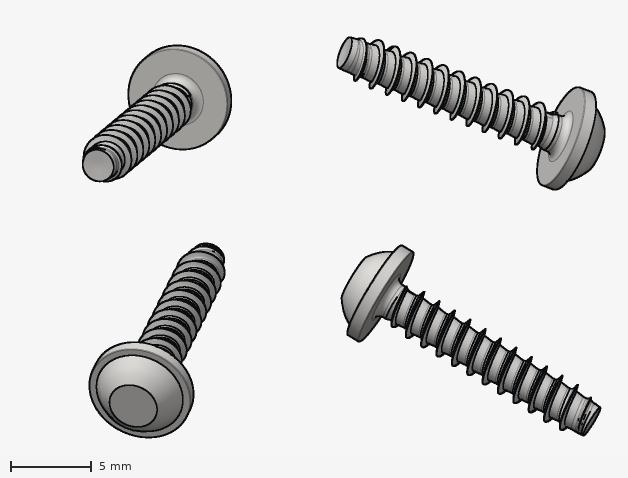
import cadquery as cq
import math


FLANGE_RADIUS = 3.25
FLANGE_THICKNESS = 0.83
FLANGE_EDGE_ROUND = 0.04
HEAD_HEIGHT = 2.3
DOME_BASE_RADIUS = 2.78
DOME_TOP_RADIUS = 1.53
DOME_SAGITTA = 0.13

SHANK_LENGTH = 15.0
NECK_RADIUS = 1.17
NECK_FILLET = 0.5
NECK_LENGTH = 0.73
NECK_TAPER_LENGTH = 0.35
CORE_RADIUS = 1.055
TIP_RADIUS = 1.02
TIP_TAPER_LENGTH = 0.4
TIP_DIMPLE_DEPTH = 0.08

PITCH = 1.12
CREST_Y_AT_X = -1.83
CREST_RADIUS = 1.5
CREST_HALF_WIDTH = 0.02
FLANK_ROOT_RADIUS = 1.12
HEAD_FLANK_WIDTH = 0.16
TIP_FLANK_WIDTH = 0.14
HEAD_RAMP_WIDTH = 0.33
TIP_RAMP_WIDTH = 0.74
RAMP_SINK = 0.01
BASE_RADIUS = 0.9

THREAD_START_Y = -0.8
FULL_THREAD_START_Y = -1.85
FULL_THREAD_END_Y = -13.4
THREAD_END_Y = -14.7
START_CREST_RADIUS = 1.28
START_HEAD_FLANK_WIDTH = 0.04
START_HEAD_RAMP_WIDTH = 0.06
END_CREST_RADIUS = 1.08
END_ROOT_RADIUS = 1.06
END_TIP_RAMP_WIDTH = 0.2
HELIX_POINTS_PER_TURN = 24


def make_body():
    """Head, neck and plain core as one solid of revolution."""
    quarter_arc_setback = 1 - math.sqrt(0.5)
    chord_radius = (DOME_BASE_RADIUS + DOME_TOP_RADIUS) / 2
    chord_height = (FLANGE_THICKNESS + HEAD_HEIGHT) / 2
    radial = DOME_BASE_RADIUS - DOME_TOP_RADIUS
    axial = HEAD_HEIGHT - FLANGE_THICKNESS
    chord = math.hypot(radial, axial)
    dome_middle = (
        chord_radius + DOME_SAGITTA * axial / chord,
        chord_height + DOME_SAGITTA * radial / chord,
    )
    fillet_outer_radius = NECK_RADIUS + NECK_FILLET
    fillet_offset = NECK_FILLET * quarter_arc_setback
    fillet_middle = (NECK_RADIUS + fillet_offset, -fillet_offset)
    edge_inner_radius = FLANGE_RADIUS - FLANGE_EDGE_ROUND
    edge_offset = FLANGE_EDGE_ROUND * quarter_arc_setback

    profile = (
        cq.Workplane("XY")
        .moveTo(0, TIP_DIMPLE_DEPTH - SHANK_LENGTH)
        .lineTo(TIP_RADIUS, -SHANK_LENGTH)
        .lineTo(CORE_RADIUS, TIP_TAPER_LENGTH - SHANK_LENGTH)
        .lineTo(CORE_RADIUS, -NECK_LENGTH - NECK_TAPER_LENGTH)
        .lineTo(NECK_RADIUS, -NECK_LENGTH)
        .lineTo(NECK_RADIUS, -NECK_FILLET)
        .threePointArc(fillet_middle, (fillet_outer_radius, 0))
        .lineTo(edge_inner_radius, 0)
        .threePointArc(
            (FLANGE_RADIUS - edge_offset, edge_offset),
            (FLANGE_RADIUS, FLANGE_EDGE_ROUND),
        )
        .lineTo(FLANGE_RADIUS, FLANGE_THICKNESS - FLANGE_EDGE_ROUND)
        .threePointArc(
            (FLANGE_RADIUS - edge_offset, FLANGE_THICKNESS - edge_offset),
            (edge_inner_radius, FLANGE_THICKNESS),
        )
        .lineTo(DOME_BASE_RADIUS, FLANGE_THICKNESS)
        .threePointArc(dome_middle, (DOME_TOP_RADIUS, HEAD_HEIGHT))
        .lineTo(0, HEAD_HEIGHT)
        .close()
    )
    return profile.revolve(360, (0, 0, 0), (0, 1, 0))


def blend(start, end, fraction):
    """Value between start and end, held at the ends."""
    return start + (end - start) * min(max(fraction, 0), 1)


def thread_section(crest_y):
    """Corners (offset from the crest along Y, radius) of the thread section at a crest height."""
    fade_in = (THREAD_START_Y - crest_y) / (THREAD_START_Y - FULL_THREAD_START_Y)
    fade_out = (FULL_THREAD_END_Y - crest_y) / (FULL_THREAD_END_Y - THREAD_END_Y)
    full_radius = blend(START_CREST_RADIUS, CREST_RADIUS, fade_in)
    crest_radius = blend(full_radius, END_CREST_RADIUS, fade_out)
    root_radius = blend(FLANK_ROOT_RADIUS, END_ROOT_RADIUS, fade_out)
    tip_ramp_width = blend(TIP_RAMP_WIDTH, END_TIP_RAMP_WIDTH, fade_out)
    head_flank_width = blend(START_HEAD_FLANK_WIDTH, HEAD_FLANK_WIDTH, fade_in)
    head_ramp_width = blend(START_HEAD_RAMP_WIDTH, HEAD_RAMP_WIDTH, fade_in)
    ramp_edge_radius = CORE_RADIUS - RAMP_SINK
    return [
        (head_ramp_width, BASE_RADIUS),
        (head_ramp_width, ramp_edge_radius),
        (head_flank_width, root_radius),
        (CREST_HALF_WIDTH, crest_radius),
        (-CREST_HALF_WIDTH, crest_radius),
        (-TIP_FLANK_WIDTH, root_radius),
        (-tip_ramp_width, ramp_edge_radius),
        (-tip_ramp_width, BASE_RADIUS),
    ]


def make_thread():
    """Helical ridge bounded by ruled faces between the helices of the section corners."""
    turns = (THREAD_START_Y - THREAD_END_Y) / PITCH
    steps = math.ceil(turns * HELIX_POINTS_PER_TURN)
    paths = []
    for step in range(steps + 1):
        crest_y = blend(THREAD_START_Y, THREAD_END_Y, step / steps)
        angle = 2 * math.pi * (crest_y - CREST_Y_AT_X) / PITCH
        section = [
            cq.Vector(radius * math.cos(angle), crest_y + offset, -radius * math.sin(angle))
            for offset, radius in thread_section(crest_y)
        ]
        paths.append(section)

    helices = [cq.Edge.makeSpline(list(points)) for points in zip(*paths)]
    faces = []
    for index, helix in enumerate(helices):
        faces.append(cq.Face.makeRuledSurface(helices[index - 1], helix))
    for section in (paths[0], paths[-1]):
        faces.append(cq.Face.makeFromWires(cq.Wire.makePolygon(section, close=True)))
    return cq.Workplane(cq.Solid.makeSolid(cq.Shell.makeShell(faces)))


screw = make_body().union(make_thread())
result = cq.Workplane(screw.solids().val())